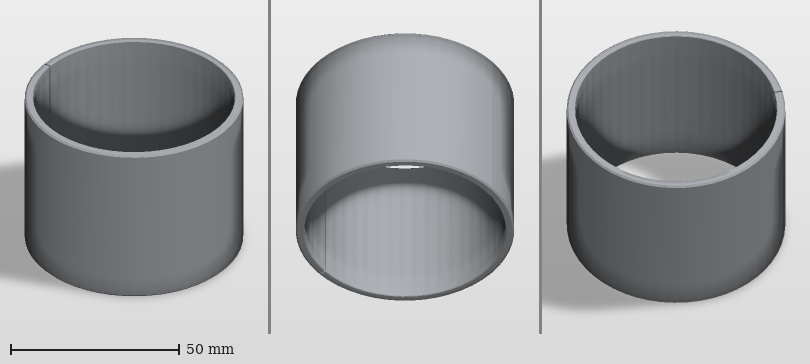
import cadquery as cq

outer_diameter = 65.0
inner_diameter = 60.0
height = 50.0
outer_chamfer_height = 0.5
outer_chamfer_width = 0.5
inner_chamfer = 0.2
slit_width = 0.5
slit_start_y = 0.0

outer_radius = outer_diameter / 2
inner_radius = inner_diameter / 2


def make_sleeve():
    """Revolve the wall section, with chamfers on all four rim edges."""
    section = [
        (inner_radius, inner_chamfer),
        (inner_radius + inner_chamfer, 0),
        (outer_radius - outer_chamfer_width, 0),
        (outer_radius, outer_chamfer_height),
        (outer_radius, height - outer_chamfer_height),
        (outer_radius - outer_chamfer_width, height),
        (inner_radius + inner_chamfer, height),
        (inner_radius, height - inner_chamfer),
    ]
    return cq.Workplane("XZ").polyline(section).close().revolve(360, (0, 0, 0), (0, 1, 0))


def make_slit():
    """Full-height cutter from the axis out to the -X side of the wall."""
    return cq.Workplane("XY").box(outer_radius, slit_width, height, centered=False).translate(
        (-outer_radius, slit_start_y, 0)
    )


result = make_sleeve().cut(make_slit())